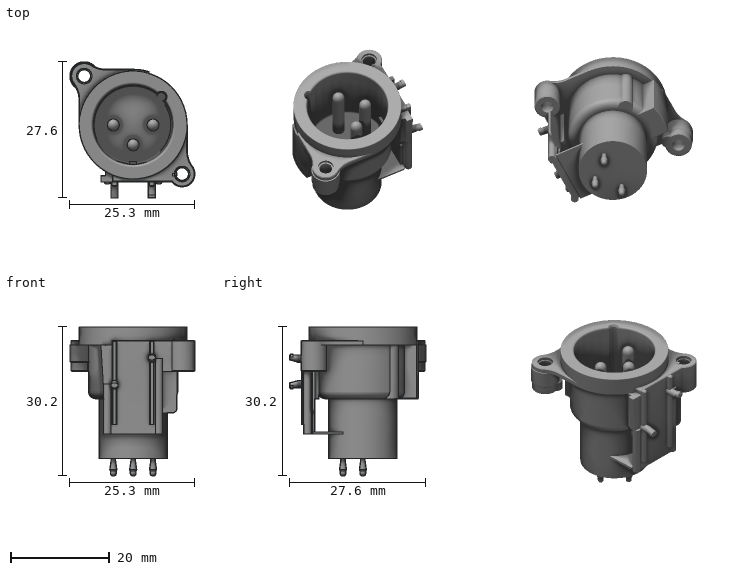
import cadquery as cq
import math

top_z = 26.67
flange_top_z = 23.92
flange_bottom_z = 22.95
boss_step_z = 19.48
ear_bottom_z = 17.67
floor_z = 13.3
bowl_bottom_z = 12.1
foot_z = 4.95

ring_radius = 10.93
bowl_radius = 9.03
bowl_fillet = 1.48
barrel_radius = 6.92
bore_top_radius = 8.18
bore_floor_radius = 7.9
bore_floor_fillet = 0.3
mouth_fillet = 0.4
edge_break = 0.15

keyway_radius = 0.9
keyway_centre = 5.7
keyway_chamfer = 0.2
keyway_chamfer_depth = 0.42
keyway_wall = 0.6
key_width = 1.42
key_inner_y = -7.4
key_height = 3.62

ear_offset = 9.9
ear_radius = 2.6
rear_ear_radius = 2.7
rear_boss_radius = 2.9
screw_radius = 1.27
screw_recess_radius = 1.57
screw_recess_depth = 0.6
blend_radius = 5.13
side_edge = 10.95
rear_edge = 11.3
boss_chamfer = 0.2
lug_radius = 1.35
lug_offset = 8.37
nub_radius = 0.3
nub_x = 8.3
nub_start_y = -10.33
nub_length = 0.57

panel_y = -11.5
panel_left_x = -4.2
panel_right_x = 7.85
panel_back_y = -10.03
post_x = 5.2
post_y = -11.17
post_radius = 0.8
left_post_top_z = 15.07
right_post_top_z = 20.23
rib_x = 3.78
rib_width = 0.95
rib_front_y = -12.38
rib_bottom_z = 6.95
rib_chamfer = 0.18
peg_radius = 0.75
peg_end_y = -14.8
peg_taper_y = -13.1
peg_tip_half_height = 0.5
barb_rise = 0.18
barb_start_y = -14.1
barb_length = 0.57
wedge_top_x = -6.52
wedge_bottom_x = -6.05
wedge_front_y = -11.55
wedge_back_y = -10.2

plate_half_width = 4.23
plate_back_y = -8.9
shoulder_x = -5.65
shoulder_back_y = -9.35
rear_pad_half_width = 3.23
sheet_front_y = -10.2
sheet_thickness = 0.48
sheet_half_width = 4.53
foot_half_width = 5.65
fin_x = 8.85
fin_bottom_z = 9.27
fin_corner = 0.9

contact_spacing = 4.02
contact_points = [(-contact_spacing, 0), (contact_spacing, 0), (0, -contact_spacing)]
contact_radius = 1.2
contact_top_z = 25.37
tail_root_z = 0.3
tail_neck_radius = 0.48
tail_neck_z = -0.5
tail_bulge_radius = 0.72
tail_bulge_z = -2.17
tail_groove_z = -2.48
tail_tip_radius = 0.6
tail_end_z = -3.53


def box(x0, x1, y0, y1, z0, z1):
    return cq.Workplane("XY").box(x1 - x0, y1 - y0, z1 - z0, centered=False).translate((x0, y0, z0))


def disc(radius, z0, z1, centre=(0, 0)):
    return cq.Workplane("XY").workplane(offset=z0).center(*centre).circle(radius).extrude(z1 - z0)


def rod_along_y(radius, x, z, y0, y1):
    return cq.Workplane("XZ", origin=(x, y0, z)).circle(radius).extrude(y0 - y1)


def ear_blend(edge, radius):
    """Concave arc from a straight edge to an ear, as (along, out) start, middle and end points."""
    reach = radius + blend_radius
    centre_out = edge + blend_radius
    rise = centre_out - ear_offset
    centre_along = ear_offset - math.sqrt(reach**2 - rise**2)
    ear_angle = math.atan2(-rise, ear_offset - centre_along)
    middle_angle = (ear_angle - math.pi / 2) / 2

    def on_arc(angle):
        return (
            centre_along + blend_radius * math.cos(angle),
            centre_out + blend_radius * math.sin(angle),
        )

    return on_arc(-math.pi / 2), on_arc(middle_angle), on_arc(ear_angle)


def ear_tip(radius):
    return ear_offset + radius / math.sqrt(2)


def flange():
    left = [(-out, along) for along, out in ear_blend(side_edge, rear_ear_radius)]
    rear = [(-along, out) for along, out in ear_blend(rear_edge, rear_ear_radius)]
    right = [(out, -along) for along, out in ear_blend(side_edge, ear_radius)]
    front_ear_x = ear_offset - math.sqrt(ear_radius**2 - (ear_offset + panel_y) ** 2)
    rear_tip = ear_tip(rear_ear_radius)
    front_tip = ear_tip(ear_radius)
    outline = (
        cq.Workplane("XY").workplane(offset=flange_bottom_z)
        .moveTo(-side_edge, 0)
        .lineTo(*left[0])
        .threePointArc(left[1], left[2])
        .threePointArc((-rear_tip, rear_tip), rear[2])
        .threePointArc(rear[1], rear[0])
        .lineTo(0, rear_edge)
        .lineTo(side_edge, 0)
        .lineTo(*right[0])
        .threePointArc(right[1], right[2])
        .threePointArc((front_tip, -front_tip), (front_ear_x, panel_y))
        .lineTo(panel_left_x, panel_y)
        .lineTo(panel_left_x, panel_back_y)
        .close()
    )
    plate = outline.extrude(flange_top_z - flange_bottom_z)
    return plate.faces(">Z").edges().chamfer(edge_break)


def ear_bosses():
    rear = (-ear_offset, ear_offset)
    front = (ear_offset, -ear_offset)
    wide = disc(rear_boss_radius, boss_step_z, flange_bottom_z, rear)
    wide = wide.faces("<Z").chamfer(boss_chamfer)
    narrow = disc(rear_ear_radius, ear_bottom_z, flange_bottom_z, rear).faces("<Z").chamfer(boss_chamfer)
    plain = disc(ear_radius, ear_bottom_z, flange_bottom_z, front).faces("<Z").chamfer(boss_chamfer)
    lug = disc(lug_radius, ear_bottom_z, boss_step_z, (-lug_offset, lug_offset))
    nub = rod_along_y(nub_radius, nub_x, flange_top_z, nub_start_y + nub_length, nub_start_y)
    return wide.union(narrow).union(plain).union(lug).union(nub)


def screw_holes():
    holes = cq.Workplane("XY")
    for sign in (-1, 1):
        centre = (sign * ear_offset, -sign * ear_offset)
        holes = holes.add(disc(screw_radius, ear_bottom_z, flange_top_z, centre))
        recess_z = flange_top_z - screw_recess_depth
        holes = holes.add(disc(screw_recess_radius, recess_z, top_z, centre))
    return holes.combine()


def turned_body():
    ring = disc(ring_radius, flange_bottom_z, top_z).faces(">Z").edges().fillet(edge_break)
    bowl = disc(bowl_radius, bowl_bottom_z, flange_bottom_z).faces("<Z").edges().fillet(bowl_fillet)
    barrel = disc(barrel_radius, 0, floor_z)
    keyway_boss = disc(
        keyway_radius + keyway_wall, bowl_bottom_z, flange_bottom_z, (keyway_centre, keyway_centre)
    )
    return ring.union(bowl).union(barrel).union(keyway_boss)


def bore():
    mouth_z = top_z - mouth_fillet
    mouth_rise = mouth_fillet * math.sqrt(0.5)
    floor_drop = bore_floor_fillet * math.sqrt(0.5)
    cone = (
        cq.Workplane("XZ")
        .moveTo(0, floor_z)
        .lineTo(bore_floor_radius - bore_floor_fillet, floor_z)
        .threePointArc(
            (
                bore_floor_radius - bore_floor_fillet + floor_drop,
                floor_z + bore_floor_fillet - floor_drop,
            ),
            (bore_floor_radius, floor_z + bore_floor_fillet),
        )
        .lineTo(bore_top_radius, mouth_z)
        .threePointArc(
            (bore_top_radius + mouth_fillet - mouth_rise, mouth_z + mouth_rise),
            (bore_top_radius + mouth_fillet, top_z),
        )
        .lineTo(0, top_z)
        .close()
        .revolve(360, (0, 0, 0), (0, 1, 0))
    )
    mouth_cone = cq.Solid.makeCone(
        keyway_radius,
        keyway_radius + keyway_chamfer,
        keyway_chamfer_depth,
        pnt=cq.Vector(keyway_centre, keyway_centre, top_z - keyway_chamfer_depth),
    )
    keyway = disc(keyway_radius, floor_z, top_z, (keyway_centre, keyway_centre))
    return cone.union(keyway).union(cq.Workplane(mouth_cone))


def bore_key():
    half = key_width / 2
    return box(-half, half, -bore_top_radius, key_inner_y, floor_z, floor_z + key_height)


def front_panel():
    upper = box(panel_left_x, panel_right_x, panel_y, panel_back_y, ear_bottom_z, flange_bottom_z)
    lower = box(-post_x, post_x, panel_y, sheet_front_y, foot_z, left_post_top_z)
    middle = box(panel_left_x, post_x, panel_y, panel_back_y, left_post_top_z, ear_bottom_z)
    left_post = disc(post_radius, foot_z, left_post_top_z, (-post_x, post_y))
    right_post = disc(post_radius, foot_z, right_post_top_z, (post_x, post_y))
    return upper.union(lower).union(middle).union(left_post).union(right_post)


def wedge():
    return (
        cq.Workplane("XZ", origin=(0, wedge_back_y, 0))
        .moveTo(wedge_top_x, flange_bottom_z)
        .lineTo(panel_left_x, flange_bottom_z)
        .lineTo(panel_left_x, left_post_top_z)
        .lineTo(wedge_bottom_x, left_post_top_z)
        .close()
        .extrude(wedge_back_y - wedge_front_y)
    )


def rib(x):
    half = rib_width / 2
    bar = box(x - half, x + half, rib_front_y, panel_y, rib_bottom_z, flange_top_z)
    return bar.faces("<Y").edges("|Z or >Z").chamfer(rib_chamfer)


def peg(x, z, taper_side):
    """Locating peg pointing to -Y, tapered above (taper_side 1) or below (-1), barbed opposite."""
    shank = rod_along_y(peg_radius, x, z, panel_y, peg_taper_y)
    drop = -taper_side * (peg_radius - peg_tip_half_height)
    tip = (
        cq.Workplane("XZ", origin=(x, peg_taper_y, z))
        .ellipse(peg_radius, peg_radius)
        .workplane(offset=peg_taper_y - peg_end_y)
        .center(0, drop)
        .ellipse(peg_radius, peg_tip_half_height)
        .loft()
    )
    barb = (
        cq.Workplane("XZ", origin=(x, barb_start_y, z + drop - taper_side * barb_rise))
        .ellipse(peg_radius, peg_tip_half_height)
        .extrude(barb_length)
    )
    return shank.union(tip).union(barb)


def bowl_supports():
    plate = box(
        -plate_half_width, plate_half_width, sheet_front_y, plate_back_y, bowl_bottom_z, flange_bottom_z
    )
    shoulder = box(shoulder_x, 0, sheet_front_y, shoulder_back_y, left_post_top_z, flange_bottom_z)
    pad = box(-rear_pad_half_width, rear_pad_half_width, 0, rear_edge, bowl_bottom_z, flange_bottom_z)
    pad = pad.intersect(disc(rear_edge, bowl_bottom_z, flange_bottom_z))
    pad = pad.faces("<Z").edges("not <Y").chamfer(edge_break)
    return plate.union(shoulder).union(pad)


def sheet():
    back_y = sheet_front_y + sheet_thickness
    wall = box(-sheet_half_width, sheet_half_width, sheet_front_y, back_y, foot_z, bowl_bottom_z)
    foot_top_z = foot_z + sheet_thickness
    foot = box(-foot_half_width, foot_half_width, sheet_front_y, 0, foot_z, foot_top_z)
    fin = box(0, fin_x, sheet_front_y, back_y, fin_bottom_z, flange_bottom_z)
    fin = fin.edges("|Y and >X and <Z").fillet(fin_corner)
    bent = wall.union(foot).edges("|X and <Y and <Z").chamfer(sheet_thickness / 2)
    return bent.union(fin)


def contact():
    dome_z = contact_top_z - contact_radius
    dome = cq.Workplane("XY").sphere(contact_radius).translate((0, 0, dome_z))
    pin = disc(contact_radius, floor_z, dome_z).union(dome)
    tail = (
        cq.Workplane("XZ")
        .moveTo(0, tail_root_z)
        .lineTo(tail_neck_radius, tail_root_z)
        .lineTo(tail_neck_radius, tail_neck_z)
        .lineTo(tail_bulge_radius, tail_bulge_z)
        .lineTo(tail_tip_radius, tail_groove_z)
        .lineTo(tail_tip_radius, tail_end_z + tail_tip_radius)
        .threePointArc(
            (tail_tip_radius / math.sqrt(2), tail_end_z + tail_tip_radius * (1 - math.sqrt(0.5))),
            (0, tail_end_z),
        )
        .close()
        .revolve(360, (0, 0, 0), (0, 1, 0))
    )
    return pin, tail


shell = turned_body().union(flange()).union(bowl_supports()).union(ear_bosses())
shell = shell.union(front_panel()).union(wedge()).union(sheet())
shell = shell.union(rib(-rib_x)).union(rib(rib_x))
shell = shell.union(peg(-rib_x, left_post_top_z, 1)).union(peg(rib_x, right_post_top_z, -1))
shell = shell.cut(screw_holes()).cut(bore())

result = shell.union(bore_key())
for x, y in contact_points:
    for piece in contact():
        result = result.union(piece.translate((x, y, 0)))